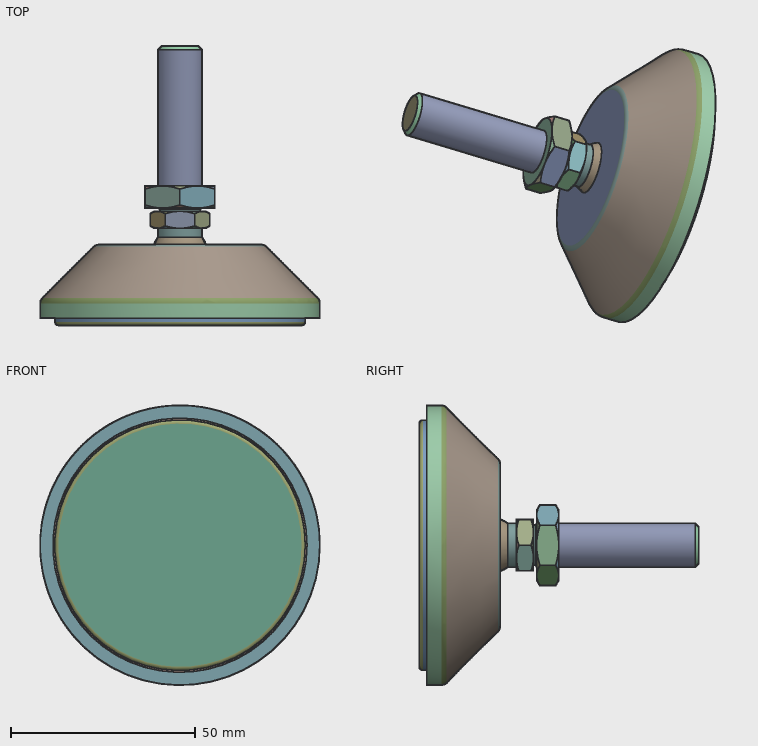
import cadquery as cq
import math


housing_radius = 38.0
housing_bottom = 2.0
housing_top = 22.0
cone_foot = 6.85
rim_fillet = 2.0
top_fillet = 2.0
top_radius = housing_radius - (housing_top - cone_foot)

pad_radius = 34.0
pad_thickness = 4.0
pad_fillet = 1.0
recess_radius = 34.5

stud_radius = 6.0
stud_top = 75.88
stud_chamfer = 1.0
ball_radius = 7.5
ball_center = 19.5
hex_bottom = 26.4
hex_top = 31.0
hex_flats = 14.0
undercut_radius = 5.5
undercut_top = 31.5
thread_bottom = undercut_top + stud_radius - undercut_radius

nut_bottom = 31.88
nut_thickness = 6.0
nut_flats = 19.0

half_sector = 30
hex_chamfer_angle = 30


def revolve_about_y(profile):
    return profile.close().revolve(360, (0, 0, 0), (0, 1, 0))


def cylinder(radius, bottom, top):
    return revolve_about_y(
        cq.Workplane("XY").moveTo(0, bottom).lineTo(radius, bottom).lineTo(radius, top).lineTo(0, top)
    )


def chamfered_hexagon(flats, bottom, top, corner_angle):
    """Hexagon along Y with both ends coned off; the first corner lies at corner_angle from +X."""
    corner_radius = flats / 2 / math.cos(math.radians(half_sector))
    prism = (
        cq.Workplane("XZ", origin=(0, bottom, 0))
        .transformed(rotate=(0, 0, corner_angle))
        .polygon(6, 2 * corner_radius)
        .extrude(bottom - top)
    )
    end_radius = flats / 2
    cone_height = (corner_radius - end_radius) * math.tan(math.radians(hex_chamfer_angle))
    envelope = revolve_about_y(
        cq.Workplane("XY")
        .moveTo(0, bottom)
        .lineTo(end_radius, bottom)
        .lineTo(corner_radius, bottom + cone_height)
        .lineTo(corner_radius, top - cone_height)
        .lineTo(end_radius, top)
        .lineTo(0, top)
    )
    return prism.intersect(envelope)


def make_ball():
    return cq.Workplane("XY").sphere(ball_radius).translate((0, ball_center, 0))


def make_housing():
    body = revolve_about_y(
        cq.Workplane("XY")
        .moveTo(0, housing_bottom)
        .lineTo(housing_radius, housing_bottom)
        .lineTo(housing_radius, cone_foot)
        .lineTo(top_radius, housing_top)
        .lineTo(0, housing_top)
    )
    body = body.edges(cq.NearestToPointSelector((0, cone_foot, 0))).fillet(rim_fillet)
    body = body.faces(">Y").edges().fillet(top_fillet)
    recess = cylinder(recess_radius, housing_bottom, pad_thickness)
    return body.cut(recess).cut(make_ball())


def make_pad():
    return cylinder(pad_radius, 0, pad_thickness).faces("<Y").edges().fillet(pad_fillet)


def make_stud():
    shank = cylinder(stud_radius, ball_center, hex_bottom)
    hexagon = chamfered_hexagon(hex_flats, hex_bottom, hex_top, 0)
    stem = revolve_about_y(
        cq.Workplane("XY")
        .moveTo(0, hex_top)
        .lineTo(undercut_radius, hex_top)
        .lineTo(undercut_radius, undercut_top)
        .lineTo(stud_radius, thread_bottom)
        .lineTo(stud_radius, stud_top - stud_chamfer)
        .lineTo(stud_radius - stud_chamfer, stud_top)
        .lineTo(0, stud_top)
    )
    return make_ball().union(shank).union(hexagon).union(stem)


def make_nut():
    nut_top = nut_bottom + nut_thickness
    bore = cylinder(stud_radius, nut_bottom, nut_top)
    return chamfered_hexagon(nut_flats, nut_bottom, nut_top, half_sector).cut(bore)


housing = make_housing()
pad = make_pad()
stud = make_stud()
nut = make_nut()

result = cq.Compound.makeCompound([housing.val(), pad.val(), stud.val(), nut.val()])